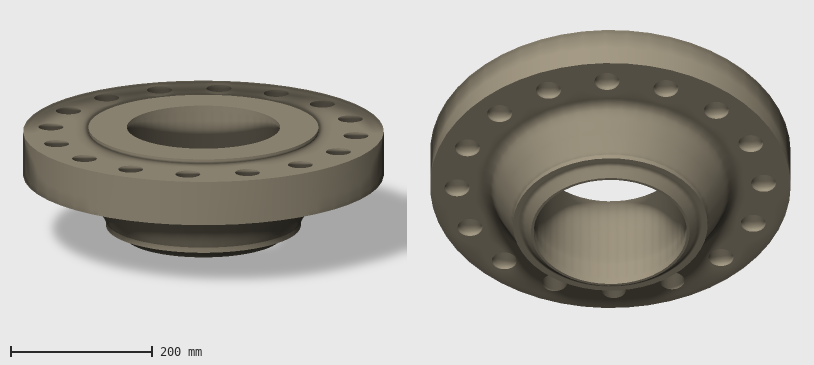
import cadquery as cq

total_height = 158.5
bore_diameter = 216.0

flange_diameter = 508.0
flange_thickness = 63.5
raised_face_diameter = 324.0
raised_face_height = 6.0

bolt_count = 16
bolt_circle_diameter = 432.0
bolt_hole_diameter = 35.0

hub_base_diameter = 343.0
hub_fillet_radius = 14.0
collar_diameter = 274.5
collar_length = 7.5
bevel_top_diameter = 250.0
bevel_end_diameter = 223.5
bevel_height = 14.0
bevel_fillet_radius = 5.5

edge_margin = 0.5

flange_top = total_height - raised_face_height
flange_bottom = flange_top - flange_thickness
collar_top = bevel_height + collar_length


def disc(diameter, bottom, height):
    """Upright cylinder on the Z axis."""
    return cq.Workplane("XY", origin=(0, 0, bottom)).circle(diameter / 2).extrude(height)


def fillet_circle(body, diameter, height, radius):
    """Fillet the circular edge of the given diameter centred on the Z axis at the given height."""
    reach = diameter / 2 + edge_margin
    slab = cq.selectors.BoxSelector(
        (-reach, -reach, height - edge_margin),
        (reach, reach, height + edge_margin),
        boundingbox=True,
    )
    return body.edges(slab).fillet(radius)


def flange_with_hub():
    """Revolved flange, hub and weld bevel, filleted at both inside corners."""
    outline = [
        (0, 0),
        (bevel_end_diameter / 2, 0),
        (bevel_top_diameter / 2, bevel_height),
        (collar_diameter / 2, bevel_height),
        (collar_diameter / 2, collar_top),
        (hub_base_diameter / 2, flange_bottom),
        (flange_diameter / 2, flange_bottom),
        (flange_diameter / 2, flange_top),
        (0, flange_top),
    ]
    body = cq.Workplane("XZ").polyline(outline).close().revolve(360, (0, 0, 0), (0, 1, 0))
    body = fillet_circle(body, hub_base_diameter, flange_bottom, hub_fillet_radius)
    return fillet_circle(body, bevel_top_diameter, bevel_height, bevel_fillet_radius)


def bolt_holes():
    """Through holes spaced evenly on the bolt circle, the first one on +X."""
    return (
        cq.Workplane("XY", origin=(0, 0, flange_bottom))
        .polarArray(bolt_circle_diameter / 2, 0, 360, bolt_count)
        .circle(bolt_hole_diameter / 2)
        .extrude(flange_thickness)
    )


raised_face = disc(raised_face_diameter, flange_top, raised_face_height)
bore = disc(bore_diameter, 0, total_height)

result = flange_with_hub().union(raised_face).cut(bore).cut(bolt_holes())